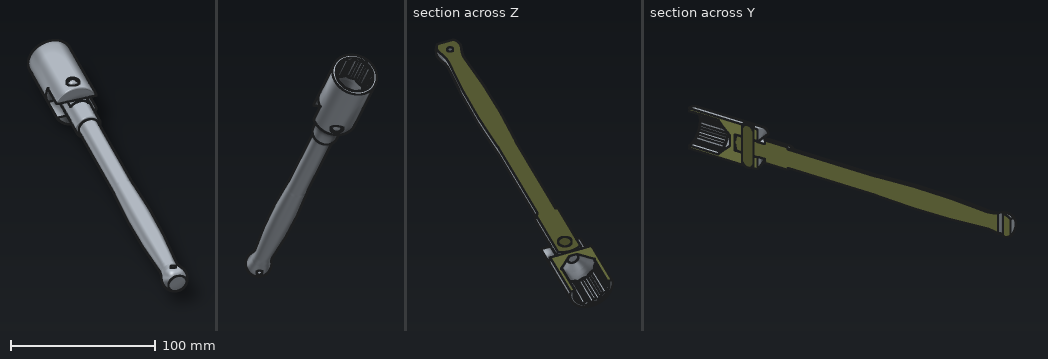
import cadquery as cq
import math


SOCKET_RADIUS = 16.0
SOCKET_LENGTH = 57.0
SOCKET_FILLET = 1.3
SLOT_START = 38.0
SLOT_WIDTH = 12.0

HEXAGON_SIDES = 6
MOUTH_RADIUS = 13.5
MOUTH_DEPTH = 1.3
WRENCH_TIP_RADIUS = 13.4
WRENCH_DEPTH = 24.0
LAND_RADIUS = 12.3
FUNNEL_RADIUS = 11.0
FUNNEL_START = 26.2
FUNNEL_STEP_RADIUS = 8.5
FUNNEL_STEP_DEPTH = 28.5
FUNNEL_END_RADIUS = 4.0
FUNNEL_DEPTH = 33.6

PIN_X = 48.5
PIN_RADIUS = 4.5
PIN_LENGTH = 34.0
PIN_DOME_HEIGHT = 3.2

COLLAR_RADIUS = 9.0
COLLAR_END = 82.0
COLLAR_FILLET = 1.3
TANG_NOSE_RADIUS = 16.0
TANG_END = 62.7

SHAFT_RADIUS = 7.5
SHAFT_END = 154.3
GRIP_START = 156.7
GRIP_START_RADIUS = 7.7
GRIP_MIDDLE_RADIUS = 8.8
GRIP_END = 246.7
NECK_RADIUS = 6.7
NECK_END = 248.3

FLARE_START = 253.0
FLARE_START_RADIUS = 7.2
KNOB_RADIUS = COLLAR_RADIUS
KNOB_CENTER = 260.9
KNOB_START = 258.7
HANDLE_END = 267.0
HANG_HOLE_X = 258.5
HANG_HOLE_RADIUS = 2.0


def knob_radius_at(x):
    """Radius of the spherical knob at a place along the handle."""
    return math.sqrt(KNOB_RADIUS**2 - (x - KNOB_CENTER) ** 2)


def revolve_about_x(outline):
    """Close an outline that starts and ends on the X axis and spin it around that axis."""
    return outline.close().revolve(360, (0, 0, 0), (1, 0, 0))


def make_cross_hole(x, radius):
    """Cutter along Z that passes through the whole tool."""
    return cq.Workplane("XY").center(x, 0).circle(radius).extrude(PIN_LENGTH, both=True)


def make_wrench_recess():
    """Twelve-point recess made of two hexagons turned half a side apart."""
    hexagon = cq.Workplane("YZ").polygon(HEXAGON_SIDES, 2 * WRENCH_TIP_RADIUS).extrude(WRENCH_DEPTH)
    return hexagon.union(hexagon.rotate((0, 0, 0), (1, 0, 0), 180 / HEXAGON_SIDES))


def make_round_bore():
    """Chamfered mouth, lands between the points, tapered run-out and blind funnel."""
    return revolve_about_x(
        cq.Workplane("XZ")
        .moveTo(0, 0)
        .lineTo(0, MOUTH_RADIUS)
        .lineTo(MOUTH_DEPTH, LAND_RADIUS)
        .lineTo(WRENCH_DEPTH, LAND_RADIUS)
        .lineTo(WRENCH_DEPTH, WRENCH_TIP_RADIUS)
        .lineTo(FUNNEL_START, FUNNEL_RADIUS)
        .lineTo(FUNNEL_STEP_DEPTH, FUNNEL_STEP_RADIUS)
        .lineTo(FUNNEL_DEPTH, FUNNEL_END_RADIUS)
        .lineTo(FUNNEL_DEPTH, 0)
    )


def make_tang_slot():
    """Cross slot that opens at the rear of the socket and receives the tang."""
    slot_length = SOCKET_LENGTH - SLOT_START
    slot = cq.Workplane("XY").box(slot_length, 2 * SOCKET_RADIUS, SLOT_WIDTH, centered=(False, True, True))
    return slot.translate((SLOT_START, 0, 0))


def make_socket():
    body = cq.Workplane("YZ").circle(SOCKET_RADIUS).extrude(SOCKET_LENGTH)
    body = body.faces(">X").edges().fillet(SOCKET_FILLET)
    body = body.cut(make_wrench_recess()).cut(make_round_bore())
    return body.cut(make_tang_slot()).cut(make_cross_hole(PIN_X, PIN_RADIUS))


def make_pin():
    """Cylinder along Z with a rounded dome on each end."""
    dome_radius = (PIN_RADIUS**2 + PIN_DOME_HEIGHT**2) / (2 * PIN_DOME_HEIGHT)
    tip = PIN_LENGTH / 2
    shoulder = tip - PIN_DOME_HEIGHT
    pin = (
        cq.Workplane("XZ")
        .moveTo(0, -tip)
        .radiusArc((PIN_RADIUS, -shoulder), -dome_radius)
        .lineTo(PIN_RADIUS, shoulder)
        .radiusArc((0, tip), -dome_radius)
        .close()
        .revolve(360, (0, 0, 0), (0, 1, 0))
    )
    return pin.translate((PIN_X, 0, 0))


def make_turned_handle():
    """Round handle from the domed tang nose to the flat end of the knob."""
    nose_height = TANG_NOSE_RADIUS - math.sqrt(TANG_NOSE_RADIUS**2 - COLLAR_RADIUS**2)
    grip_middle = (GRIP_START + GRIP_END) / 2
    return revolve_about_x(
        cq.Workplane("XZ")
        .moveTo(SLOT_START, 0)
        .radiusArc((SLOT_START + nose_height, COLLAR_RADIUS), TANG_NOSE_RADIUS)
        .lineTo(COLLAR_END - COLLAR_FILLET, COLLAR_RADIUS)
        .radiusArc((COLLAR_END, COLLAR_RADIUS - COLLAR_FILLET), COLLAR_FILLET)
        .lineTo(COLLAR_END, SHAFT_RADIUS)
        .lineTo(SHAFT_END, SHAFT_RADIUS)
        .lineTo(GRIP_START, GRIP_START_RADIUS)
        .threePointArc((grip_middle, GRIP_MIDDLE_RADIUS), (GRIP_END, NECK_RADIUS))
        .lineTo(NECK_END, NECK_RADIUS)
        .lineTo(FLARE_START, FLARE_START_RADIUS)
        .lineTo(KNOB_START, knob_radius_at(KNOB_START))
        .threePointArc((KNOB_CENTER, KNOB_RADIUS), (HANDLE_END, knob_radius_at(HANDLE_END)))
        .lineTo(HANDLE_END, 0)
    )


def make_tang_flat(side):
    """Cutter that leaves one flat face of the tang; side is +1 for the top and -1 for the bottom."""
    cut_height = COLLAR_RADIUS
    cutter = cq.Workplane("XY").box(
        TANG_END - SLOT_START, 2 * COLLAR_RADIUS, cut_height, centered=(False, True, True)
    )
    return cutter.translate((SLOT_START, 0, side * (SLOT_WIDTH + cut_height) / 2))


def make_handle():
    body = make_turned_handle()
    for side in (-1, 1):
        body = body.cut(make_tang_flat(side))
    body = body.cut(make_cross_hole(HANG_HOLE_X, HANG_HOLE_RADIUS))
    return body.cut(make_cross_hole(PIN_X, PIN_RADIUS))


socket = make_socket()
handle = make_handle()
pin = make_pin()

result = cq.Compound.makeCompound([socket.solids().val(), handle.solids().val(), pin.val()])